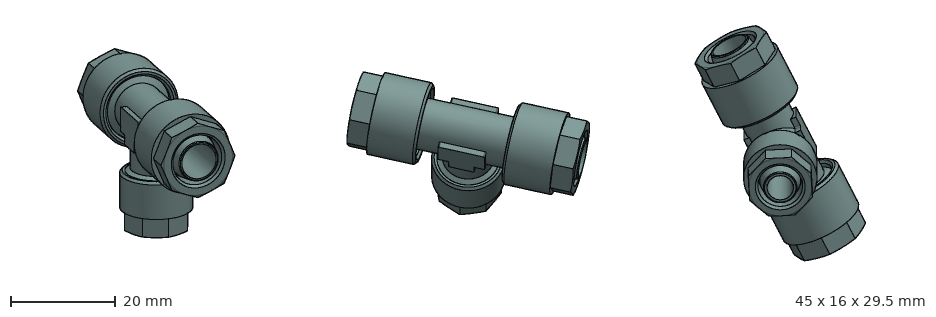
import cadquery as cq
import math

TUBE_DIAMETER = 10.0
SHOULDER_START = 9.0
SHOULDER_HALF_ANGLE = 60.0
NOSE_TAPER_LENGTH = 3.5
TIP_CHAMFER = 0.2

NUT_SIDES = 8
NUT_TIP_GAP = 0.4
NUT_SEAT_THICKNESS = 1.0
NOSE_CLEARANCE = 0.35
NUT_CORNER_CHAMFER_ANGLE = 15.0
COLLAR_CHAMFER = 0.5
MOUTH_CHAMFER = 0.5
RUN_ENTRY_CHAMFER = 0.5

RUN_PORT = dict(
    bore=7.0,
    tip=8.0,
    thread=13.0,
    reach=22.5,
    collar=16.0,
    across_flats=14.0,
    mouth=10.0,
    nut_start=8.5,
    collar_end=18.0,
)
BRANCH_PORT = dict(
    bore=5.0,
    tip=6.4,
    thread=12.0,
    reach=21.5,
    collar=14.0,
    across_flats=12.0,
    mouth=8.5,
    nut_start=9.5,
    collar_end=17.0,
)

PAD_WIDTH = 9.2
PAD_TOP = 2.5
PAD_STEP = -2.5
PAD_BOTTOM = -4.5
PAD_STEM_WIDTH = 5.0
PAD_SPAN = 11.0
PAD_FILLET = 0.25

LEFT = ((0, 1, 0), -90)
RIGHT = ((0, 1, 0), 90)
DOWN = ((1, 0, 0), 180)


def turned(shape, placement):
    axis, angle = placement
    return shape.rotate((0, 0, 0), axis, angle)


def revolved(profile):
    """Solid of revolution about Z from (radius, height) points."""
    return cq.Workplane("XZ").polyline(profile).close().revolve(360, (0, 0, 0), (0, 1, 0))


def thread_end(port):
    """Where the thread meets the seat inside the nut."""
    return port["collar_end"] - NUT_SEAT_THICKNESS


def port_stem(port):
    """Tube, conical shoulder, thread and tapered nose of one port, pointing along +Z."""
    tube_radius = TUBE_DIAMETER / 2
    thread_radius = port["thread"] / 2
    nose_root_radius = port["mouth"] / 2 - NOSE_CLEARANCE
    tip_radius = port["tip"] / 2
    reach = port["reach"]
    shoulder_length = (thread_radius - tube_radius) / math.tan(math.radians(SHOULDER_HALF_ANGLE))
    return revolved([
        (0, 0),
        (tube_radius, 0),
        (tube_radius, SHOULDER_START),
        (thread_radius, SHOULDER_START + shoulder_length),
        (thread_radius, thread_end(port)),
        (nose_root_radius, thread_end(port)),
        (nose_root_radius, reach - NOSE_TAPER_LENGTH),
        (tip_radius, reach - TIP_CHAMFER),
        (tip_radius - TIP_CHAMFER, reach),
        (0, reach),
    ])


def wrench_pads():
    """One T-shaped plate across the whole tee; only its two ends show outside the tubes."""
    half_width = PAD_WIDTH / 2
    half_stem = PAD_STEM_WIDTH / 2
    outline = [
        (-half_width, PAD_TOP),
        (half_width, PAD_TOP),
        (half_width, PAD_STEP),
        (half_stem, PAD_STEP),
        (half_stem, PAD_BOTTOM),
        (-half_stem, PAD_BOTTOM),
        (-half_stem, PAD_STEP),
        (-half_width, PAD_STEP),
    ]
    plate = cq.Workplane("XZ").polyline(outline).close().extrude(PAD_SPAN / 2, both=True)
    top_corners = plate.edges("|Y").edges(">Z")
    plate = top_corners.fillet(PAD_FILLET)
    inner_corners = plate.edges(
        cq.selectors.BoxSelector(
            (-half_stem - PAD_FILLET, -PAD_SPAN, PAD_STEP - PAD_FILLET),
            (half_stem + PAD_FILLET, PAD_SPAN, PAD_STEP + PAD_FILLET),
        )
    ).edges("|Y")
    return inner_corners.fillet(PAD_FILLET)


def tee_body():
    body = turned(port_stem(RUN_PORT), LEFT)
    body = body.union(turned(port_stem(RUN_PORT), RIGHT))
    body = body.union(turned(port_stem(BRANCH_PORT), DOWN))
    body = body.union(wrench_pads())
    run_bore = cq.Workplane("YZ").circle(RUN_PORT["bore"] / 2).extrude(RUN_PORT["reach"], both=True)
    branch_bore = cq.Workplane("XY").circle(BRANCH_PORT["bore"] / 2).extrude(-BRANCH_PORT["reach"])
    return body.cut(run_bore).cut(branch_bore)


def nut(port):
    """Union nut of one port: round collar, octagonal head and stepped hole, along +Z."""
    start = port["nut_start"]
    collar_end = port["collar_end"]
    end = port["reach"] - NUT_TIP_GAP
    flat_radius = port["across_flats"] / 2
    corner_radius = flat_radius / math.cos(math.pi / NUT_SIDES)

    collar = (
        cq.Workplane("XY", origin=(0, 0, start))
        .circle(port["collar"] / 2)
        .extrude(collar_end - start)
        .faces("<Z")
        .chamfer(COLLAR_CHAMFER)
    )
    head = (
        cq.Workplane("XY", origin=(0, 0, collar_end))
        .polygon(NUT_SIDES, 2 * corner_radius)
        .extrude(end - collar_end)
    )
    corner_drop = (corner_radius - flat_radius) * math.tan(math.radians(NUT_CORNER_CHAMFER_ANGLE))
    corner_trim = revolved([
        (0, collar_end),
        (corner_radius, collar_end),
        (corner_radius, end - corner_drop),
        (flat_radius, end),
        (0, end),
    ])

    thread_radius = port["thread"] / 2
    mouth_radius = port["mouth"] / 2
    hole = revolved([
        (0, start),
        (thread_radius, start),
        (thread_radius, thread_end(port)),
        (mouth_radius, thread_end(port)),
        (mouth_radius, end - MOUTH_CHAMFER),
        (mouth_radius + MOUTH_CHAMFER, end),
        (0, end),
    ])
    return collar.union(head.intersect(corner_trim)).cut(hole)


def run_nut():
    """Run nut, with a chamfered entry to its threaded hole."""
    start = RUN_PORT["nut_start"]
    thread_radius = RUN_PORT["thread"] / 2
    entry = revolved([
        (0, start),
        (thread_radius + RUN_ENTRY_CHAMFER, start),
        (thread_radius, start + RUN_ENTRY_CHAMFER),
        (0, start + RUN_ENTRY_CHAMFER),
    ])
    return nut(RUN_PORT).cut(entry)


body = tee_body()
run_nuts = [turned(run_nut(), side) for side in (LEFT, RIGHT)]
branch_nut = turned(nut(BRANCH_PORT), DOWN)

result = cq.Compound.makeCompound([
    body.val(),
    *[placed_nut.val() for placed_nut in run_nuts],
    branch_nut.val(),
])